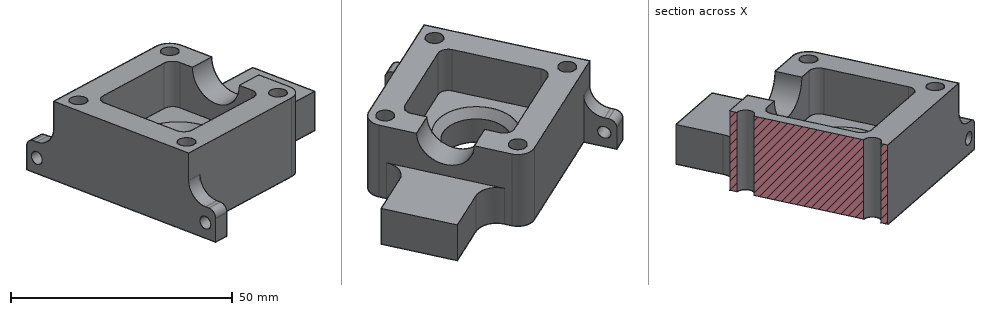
import cadquery as cq

total_depth = 57.0
total_width = 56.0
height = 20.0
body_side = 40.0
body_corner_radius = 4.0

ear_thickness = 4.0
ear_height = 8.05
ear_root_radius = 5.0
ear_tip_radius = 2.0
ear_hole_diameter = 3.2
ear_hole_inset = 3.0
ear_hole_height = 4.0

tail_width = 18.4
tail_height = 10.0
tail_root_radius = 5.0

pocket_side = 26.4
pocket_depth = 11.5
pocket_corner_radius = 2.5
bore_diameter = 16.0
bore_chamfer = 2.0
notch_diameter = 13.9
screw_hole_diameter = 4.2
screw_hole_inset = 4.0

body_half = body_side / 2
body_center_y = body_half
pocket_floor = height - pocket_depth


def make_body():
    block = cq.Workplane("XY").box(body_side, body_side, height, centered=(True, False, False))
    return block.edges("|Z and >Y").fillet(body_corner_radius)


def make_ears():
    """Front plate with a rounded ear on each side, blended into the body."""
    half_width = total_width / 2
    plate = (
        cq.Workplane("XZ")
        .moveTo(-half_width, 0)
        .lineTo(half_width, 0)
        .lineTo(half_width, ear_height - ear_tip_radius)
        .radiusArc((half_width - ear_tip_radius, ear_height), -ear_tip_radius)
        .lineTo(body_half + ear_root_radius, ear_height)
        .radiusArc((body_half, ear_height + ear_root_radius), ear_root_radius)
        .lineTo(body_half, height)
        .lineTo(-body_half, height)
        .lineTo(-body_half, ear_height + ear_root_radius)
        .radiusArc((-body_half - ear_root_radius, ear_height), ear_root_radius)
        .lineTo(-half_width + ear_tip_radius, ear_height)
        .radiusArc((-half_width, ear_height - ear_tip_radius), -ear_tip_radius)
        .close()
        .extrude(-ear_thickness)
    )
    hole_x = half_width - ear_hole_inset
    holes = (
        cq.Workplane("XZ")
        .pushPoints([(-hole_x, ear_hole_height), (hole_x, ear_hole_height)])
        .circle(ear_hole_diameter / 2)
        .extrude(-ear_thickness)
    )
    return plate.cut(holes)


def make_tail():
    """Low block behind the body, flaring out to meet the back wall."""
    half_tail = tail_width / 2
    flare_half = half_tail + tail_root_radius
    flare_start = body_side + tail_root_radius
    return (
        cq.Workplane("XY")
        .moveTo(-flare_half, body_center_y)
        .lineTo(flare_half, body_center_y)
        .lineTo(flare_half, body_side)
        .radiusArc((half_tail, flare_start), tail_root_radius)
        .lineTo(half_tail, total_depth)
        .lineTo(-half_tail, total_depth)
        .lineTo(-half_tail, flare_start)
        .radiusArc((-flare_half, body_side), tail_root_radius)
        .close()
        .extrude(tail_height)
    )


def make_pocket():
    return (
        cq.Workplane("XY", origin=(0, body_center_y, pocket_floor))
        .rect(pocket_side, pocket_side)
        .extrude(pocket_depth)
        .edges("|Z")
        .fillet(pocket_corner_radius)
    )


def make_bore():
    """Through bore, chamfered where it meets the pocket floor."""
    return (
        cq.Workplane("XY", origin=(0, body_center_y, 0))
        .circle(bore_diameter / 2)
        .extrude(pocket_floor)
        .union(
            cq.Workplane("XY", origin=(0, body_center_y, pocket_floor))
            .circle(bore_diameter / 2 + bore_chamfer)
            .workplane(offset=-bore_chamfer)
            .circle(bore_diameter / 2)
            .loft()
        )
    )


def make_notch():
    """Half-round channel from the pocket out through the back wall."""
    return (
        cq.Workplane("XZ", origin=(0, body_center_y, height))
        .circle(notch_diameter / 2)
        .extrude(-body_half)
    )


def make_screw_holes():
    spacing = body_side - 2 * screw_hole_inset
    return (
        cq.Workplane("XY", origin=(0, body_center_y, 0))
        .rect(spacing, spacing, forConstruction=True)
        .vertices()
        .circle(screw_hole_diameter / 2)
        .extrude(height)
    )


result = make_body().union(make_ears()).union(make_tail())
for opening in (make_pocket(), make_bore(), make_notch(), make_screw_holes()):
    result = result.cut(opening)